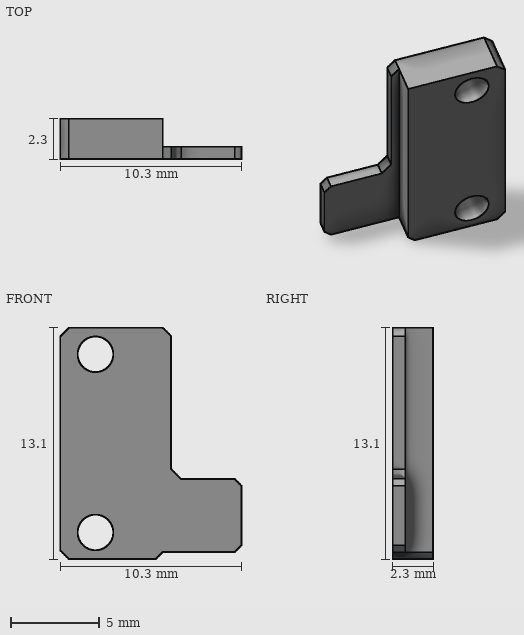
import cadquery as cq

height = 13.08
total_width = 10.27
block_depth = 2.3
plate_depth = 0.7

block_width = 5.81
plate_width = 6.28
corner_chamfer = 0.5
step_chamfer = 0.39

tab_bottom = step_chamfer
tab_top = 4.53
tab_chamfer = 0.39
inner_chamfer = 0.56

hole_diameter = 2.0
hole_side_offset = 2.0
hole_end_offset = 1.5


def extrude_back(outline, depth):
    """Extrude a closed XZ outline from the front face (Y = 0) toward +Y."""
    return cq.Workplane("XZ").polyline(outline).close().extrude(-depth)


block_outline = [
    (corner_chamfer, 0),
    (block_width - step_chamfer, 0),
    (block_width, step_chamfer),
    (block_width, height),
    (corner_chamfer, height),
    (0, height - corner_chamfer),
    (0, corner_chamfer),
]

plate_outline = [
    (corner_chamfer, 0),
    (block_width - step_chamfer, 0),
    (block_width, tab_bottom),
    (total_width - tab_chamfer, tab_bottom),
    (total_width, tab_bottom + tab_chamfer),
    (total_width, tab_top - tab_chamfer),
    (total_width - tab_chamfer, tab_top),
    (plate_width + inner_chamfer, tab_top),
    (plate_width, tab_top + inner_chamfer),
    (plate_width, height - (plate_width - block_width)),
    (block_width, height),
    (corner_chamfer, height),
    (0, height - corner_chamfer),
    (0, corner_chamfer),
]

body = extrude_back(block_outline, block_depth).union(extrude_back(plate_outline, plate_depth))

hole_centers = [(hole_side_offset, z) for z in (hole_end_offset, height - hole_end_offset)]
holes = cq.Workplane("XZ").pushPoints(hole_centers).circle(hole_diameter / 2).extrude(-block_depth)

result = body.cut(holes)